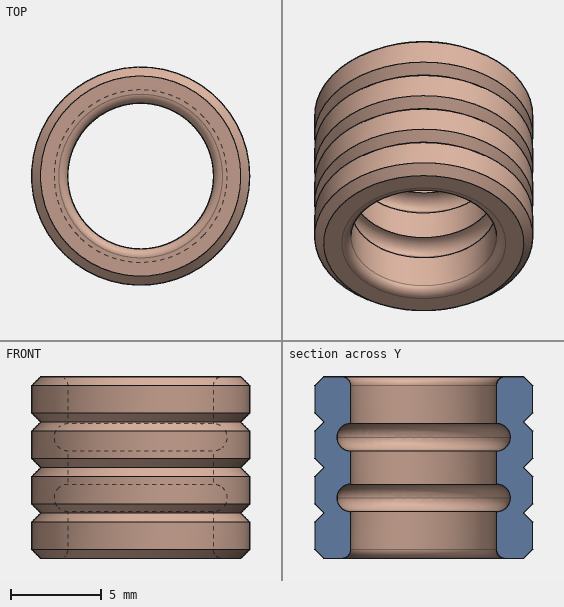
import cadquery as cq

outer_diameter = 12.0
ring_count = 4
ring_height = outer_diameter * 5 / 24
edge_size = outer_diameter / 24
bore_diameter = outer_diameter * 2 / 3
bore_groove_count = 2
bore_groove_radius = outer_diameter / 16

outer_radius = outer_diameter / 2
bore_radius = bore_diameter / 2
total_height = ring_count * ring_height


def make_ring(base_z):
    """One solid disc with both outer edges chamfered."""
    disc = cq.Workplane("XY").workplane(offset=base_z).circle(outer_radius).extrude(ring_height)
    return disc.faces("<Z or >Z").edges().chamfer(edge_size)


def make_bore_groove(center_z):
    """Torus centred on the bore wall, cutting a half-round groove."""
    section = cq.Workplane("XZ").center(bore_radius, center_z).circle(bore_groove_radius)
    return section.revolve(360, (-bore_radius, 0), (-bore_radius, 1))


result = make_ring(0)
for index in range(1, ring_count):
    result = result.union(make_ring(index * ring_height))

result = result.faces(">Z").workplane().hole(bore_diameter)
mouth_edges = cq.selectors.RadiusNthSelector(0)
result = result.faces("<Z or >Z").edges(mouth_edges).fillet(edge_size)

groove_spacing = total_height / (bore_groove_count + 1)
for index in range(1, bore_groove_count + 1):
    result = result.cut(make_bore_groove(index * groove_spacing))